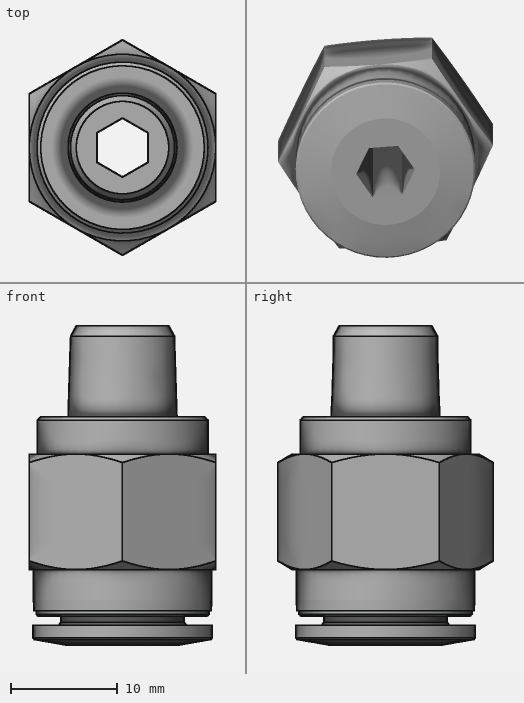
import cadquery as cq
import math

TOTAL_HEIGHT = 29.9
THREAD_LENGTH = 8.5
COLLAR_HEIGHT = 3.5
NUT_HEIGHT = 10.8
BODY_TAPER_TOP_Z = 4.27
BODY_STEP_Z = 3.23
BODY_BOTTOM_Z = 2.73
FLANGE_TOP_Z = 1.9
FLANGE_RIM_BOTTOM_Z = 0.7
NUT_TOP_Z = TOTAL_HEIGHT - THREAD_LENGTH - COLLAR_HEIGHT
NUT_BOTTOM_Z = NUT_TOP_Z - NUT_HEIGHT
COLLAR_TOP_Z = NUT_TOP_Z + COLLAR_HEIGHT

FLANGE_DIAMETER = 16.8
FLANGE_EDGE_CHAMFER = 0.15
DOME_FLAT_DIAMETER = 10.2
NECK_DIAMETER = 11.53
NECK_FLARE_WIDTH = 0.2
NECK_FLARE_HEIGHT = 0.28

BODY_DIAMETER = 16.7
BODY_TAPER_END_DIAMETER = 16.6
BODY_RING_DIAMETER = 16.2
BODY_RING_CHAMFER = 0.2

NUT_ACROSS_FLATS = 17.46
NUT_CORNER_DROP = 0.8

COLLAR_DIAMETER = 16.0
COLLAR_CHAMFER = 0.35

THREAD_BASE_DIAMETER = 10.2
THREAD_TAPER = 1 / 16
TIP_BEVEL_HEIGHT = 1.0
TIP_FACE_DIAMETER = 8.65
THREAD_TIP_DIAMETER = THREAD_BASE_DIAMETER - THREAD_TAPER * (THREAD_LENGTH - TIP_BEVEL_HEIGHT)

SOCKET_ACROSS_FLATS = 4.76


def hex_prism(across_flats, bottom_z, height):
    """Hexagonal prism with two flats facing +X and -X."""
    across_corners = across_flats / math.cos(math.pi / 6)
    return (
        cq.Workplane("XY", origin=(0, 0, bottom_z))
        .transformed(rotate=(0, 0, 90))
        .polygon(6, across_corners)
        .extrude(height)
    )


def revolve_profile(points):
    """Solid of revolution about Z from (radius, z) points, closed along the axis."""
    axis_points = [(0, points[-1][1]), (0, points[0][1])]
    return cq.Workplane("XZ").polyline(points + axis_points).close().revolve(360, (0, 0), (0, 1))


def make_release_button():
    flange_radius = FLANGE_DIAMETER / 2
    neck_radius = NECK_DIAMETER / 2
    return revolve_profile([
        (DOME_FLAT_DIAMETER / 2, 0),
        (flange_radius - FLANGE_EDGE_CHAMFER, FLANGE_RIM_BOTTOM_Z - FLANGE_EDGE_CHAMFER),
        (flange_radius, FLANGE_RIM_BOTTOM_Z),
        (flange_radius, FLANGE_TOP_Z),
        (neck_radius + NECK_FLARE_WIDTH, FLANGE_TOP_Z),
        (neck_radius, FLANGE_TOP_Z + NECK_FLARE_HEIGHT),
        (neck_radius, BODY_BOTTOM_Z),
    ])


def make_body():
    ring_radius = BODY_RING_DIAMETER / 2
    return revolve_profile([
        (ring_radius - BODY_RING_CHAMFER, BODY_BOTTOM_Z),
        (ring_radius, BODY_BOTTOM_Z + BODY_RING_CHAMFER),
        (ring_radius, BODY_STEP_Z),
        (BODY_TAPER_END_DIAMETER / 2, BODY_STEP_Z),
        (BODY_DIAMETER / 2, BODY_TAPER_TOP_Z),
        (BODY_DIAMETER / 2, NUT_BOTTOM_Z),
    ])


def make_nut():
    face_radius = NUT_ACROSS_FLATS / 2
    corner_radius = face_radius / math.cos(math.pi / 6)
    turned_blank = revolve_profile([
        (face_radius, NUT_BOTTOM_Z),
        (corner_radius, NUT_BOTTOM_Z + NUT_CORNER_DROP),
        (corner_radius, NUT_TOP_Z - NUT_CORNER_DROP),
        (face_radius, NUT_TOP_Z),
    ])
    return hex_prism(NUT_ACROSS_FLATS, NUT_BOTTOM_Z, NUT_HEIGHT).intersect(turned_blank)


def make_collar():
    radius = COLLAR_DIAMETER / 2
    return revolve_profile([
        (radius, NUT_TOP_Z),
        (radius, COLLAR_TOP_Z - COLLAR_CHAMFER),
        (radius - COLLAR_CHAMFER, COLLAR_TOP_Z),
    ])


def make_thread():
    return revolve_profile([
        (THREAD_BASE_DIAMETER / 2, COLLAR_TOP_Z),
        (THREAD_TIP_DIAMETER / 2, TOTAL_HEIGHT - TIP_BEVEL_HEIGHT),
        (TIP_FACE_DIAMETER / 2, TOTAL_HEIGHT),
    ])


fitting = make_release_button()
for section in (make_body(), make_nut(), make_collar(), make_thread()):
    fitting = fitting.union(section)

result = fitting.cut(hex_prism(SOCKET_ACROSS_FLATS, 0, TOTAL_HEIGHT))